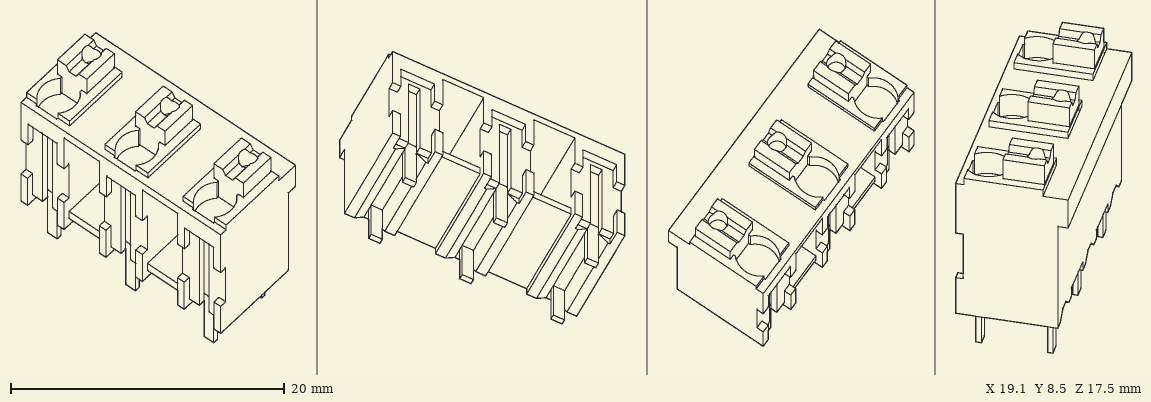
import cadquery as cq


pole_count = 3
pole_pitch = 7.5
pole_width = 4.13
pole_centers = [(i - (pole_count - 1) / 2) * pole_pitch for i in range(pole_count)]
gap_width = pole_pitch - pole_width
gap_centers = [(a + b) / 2 for a, b in zip(pole_centers, pole_centers[1:])]

housing_length = (pole_count - 1) * pole_pitch + pole_width
housing_depth = 8.5
deck_z = 11.7
rear_lip_depth = 0.78
rear_lip_bottom_z = 9.17
body_back_y = housing_depth - rear_lip_depth

collar_front_y = 0.63
collar_back_y = 6.6
collar_top_z = 12.26

window_depth = 0.57
cheek_width = 0.68
cheek_bottom_z = 7.22
window_top_z = 9.67
post_width = 0.64
post_top_z = 3.22
window_bottom_z = 0.7
slot_top_z = 9.11

gap_top_z = 10.86
gap_floor_z = 1.61
gap_underside_z = 0.77
gap_back_wall = 1.0

pin_width = 0.93
pin_bottom_z = -3.5
pin_top_z = gap_floor_z
front_pin_y = 1.11
front_pin_thickness = 0.45
rear_pin_y = 6.55
rear_pin_thickness = 0.4

groove_mouth_width = 2.5

entry_offset_x = -0.07
entry_front_y = 0.51
entry_arc_end_y = 3.23
entry_center_y = (collar_front_y + entry_arc_end_y) / 2
entry_slit_half_width = 1.0
entry_back_half_width = 0.95
entry_max_half_width = 1.51
entry_floor_z = 10.37

button_offset_x = -0.04
button_width = 2.82
button_front_y = 3.4
button_back_y = 6.53
button_top_z = 13.95
button_notch_depth = 0.49
button_notch_top_width = 1.2
button_notch_bottom_width = 0.66
button_hole_x = 0.03
button_hole_y = 5.55
button_hole_radius = 0.71
button_hole_depth = 2.0


def block(x_center, width, y_range, z_range):
    """Rectangular block centered on x_center, between the given Y and Z limits."""
    depth = y_range[1] - y_range[0]
    height = z_range[1] - z_range[0]
    corner = (x_center - width / 2, y_range[0], z_range[0])
    return cq.Workplane("XY").box(width, depth, height, centered=False).translate(corner)


def pin(x, front_y, thickness):
    """Flat contact pin standing in the housing underside."""
    return block(x, pin_width, (front_y, front_y + thickness), (pin_bottom_z, pin_top_z))


def button_blank(x):
    """Button outline without its screwdriver notch; also the shape of its pocket."""
    return block(
        x + button_offset_x, button_width, (button_front_y, button_back_y), (entry_floor_z, button_top_z)
    )


def button(x):
    """Release button with a flared notch along Y and a blind round hole in its top."""
    notch_floor_z = button_top_z - button_notch_depth
    notch = (
        cq.Workplane("XZ", origin=(x, button_back_y, 0))
        .moveTo(-button_notch_top_width / 2, button_top_z)
        .lineTo(-button_notch_bottom_width / 2, notch_floor_z)
        .lineTo(button_notch_bottom_width / 2, notch_floor_z)
        .lineTo(button_notch_top_width / 2, button_top_z)
        .close()
        .extrude(button_back_y - button_front_y)
    )
    hole = (
        cq.Workplane("XY", origin=(x + button_hole_x, button_hole_y, button_top_z))
        .circle(button_hole_radius)
        .extrude(-button_hole_depth)
    )
    return button_blank(x).cut(notch).cut(hole)


def entry_pit(x):
    """Wire entry: bulging sides between a front slit and the front face of the button."""
    return (
        cq.Workplane("XY", origin=(x + entry_offset_x, 0, entry_floor_z))
        .moveTo(-entry_slit_half_width, entry_front_y)
        .lineTo(-entry_slit_half_width, collar_front_y)
        .threePointArc((-entry_max_half_width, entry_center_y), (-entry_back_half_width, entry_arc_end_y))
        .lineTo(-entry_back_half_width, button_front_y)
        .lineTo(entry_back_half_width, button_front_y)
        .lineTo(entry_back_half_width, entry_arc_end_y)
        .threePointArc((entry_max_half_width, entry_center_y), (entry_slit_half_width, collar_front_y))
        .lineTo(entry_slit_half_width, entry_front_y)
        .close()
        .extrude(collar_top_z - entry_floor_z)
    )


def bottom_groove(x):
    """Groove under a pole along the whole depth, narrowing upward to the pin width."""
    return (
        cq.Workplane("XZ", origin=(x, housing_depth, 0))
        .moveTo(-groove_mouth_width / 2, 0)
        .lineTo(-pin_width / 2, window_bottom_z)
        .lineTo(pin_width / 2, window_bottom_z)
        .lineTo(groove_mouth_width / 2, 0)
        .close()
        .extrude(housing_depth)
    )


def cut_pole_front(body, x):
    """Cut the window, the side relief, the pin slot and the bottom opening of one pole."""
    face = (0, window_depth)
    upper_width = pole_width - 2 * cheek_width
    lower_width = pole_width - 2 * post_width
    body = body.cut(block(x, upper_width, face, (cheek_bottom_z, window_top_z)))
    body = body.cut(block(x, pole_width, face, (post_top_z, cheek_bottom_z)))
    body = body.cut(block(x, lower_width, face, (0, post_top_z)))
    body = body.cut(block(x, lower_width, (0, front_pin_y), (0, window_bottom_z)))
    return body.cut(block(x, pin_width, (0, front_pin_y), (0, slot_top_z)))


def make_housing(pins):
    """Housing with all its recesses; the pins are cut out to leave matching holes."""
    body = block(0, housing_length, (0, body_back_y), (0, deck_z))
    body = body.union(block(0, housing_length, (body_back_y, housing_depth), (rear_lip_bottom_z, deck_z)))
    for x in pole_centers:
        body = body.union(block(x, pole_width, (collar_front_y, collar_back_y), (deck_z, collar_top_z)))

    for x in gap_centers:
        recess_y = (0, body_back_y - gap_back_wall)
        body = body.cut(block(x, gap_width, recess_y, (gap_floor_z, gap_top_z)))
        body = body.cut(block(x, gap_width, (0, window_depth), (0, gap_floor_z)))
        body = body.cut(block(x, gap_width, (0, body_back_y), (0, gap_underside_z)))

    for x in pole_centers:
        body = cut_pole_front(body, x)
        body = body.cut(bottom_groove(x))
        body = body.cut(entry_pit(x))
        body = body.cut(button_blank(x))

    for contact in pins:
        body = body.cut(contact)
    return body


front_pins = [pin(x, front_pin_y, front_pin_thickness) for x in pole_centers]
rear_pins = [pin(x, rear_pin_y, rear_pin_thickness) for x in pole_centers]
buttons = [button(x) for x in pole_centers]
housing = make_housing(front_pins + rear_pins)

bodies = [housing] + buttons + front_pins + rear_pins
result = cq.Compound.makeCompound([body.val() for body in bodies])